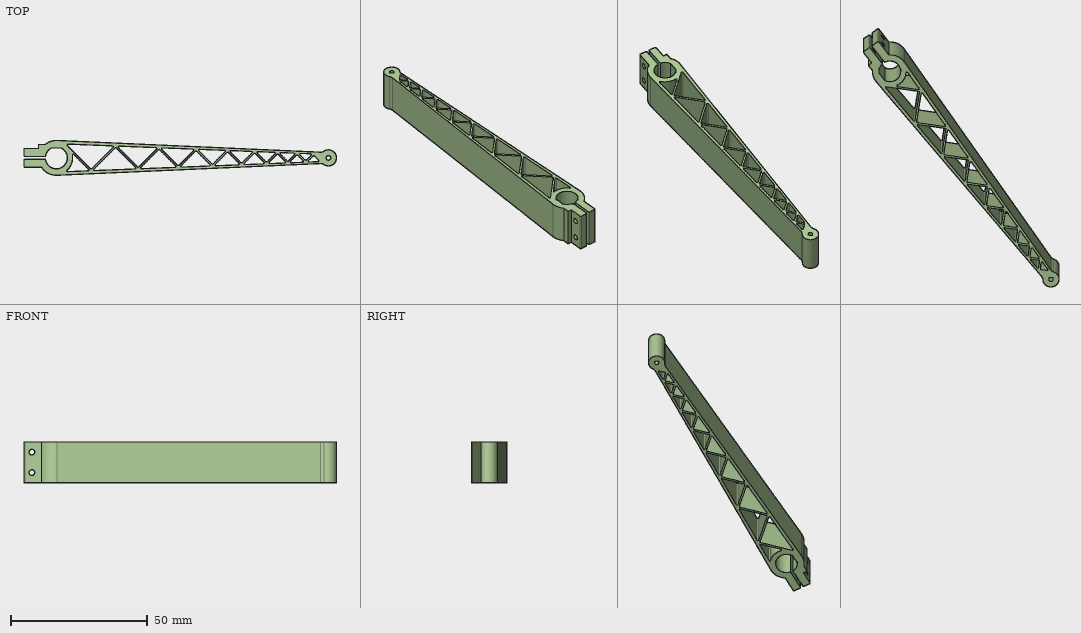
import cadquery as cq
import math

height = 15.0
tip_x = 100.0

hub_radius = 6.45
bore_radius = 4.0
bore_flat_y = 3.6
tip_radius = 3.0
tip_hole_radius = 0.8
taper_end_radius = 2.0
tip_blend_radius = 2.0

overall_length = 114.92
clamp_end_x = tip_x + tip_radius - overall_length
clamp_half_width = 3.5
clamp_slot_width = 1.0
clamp_corner_radius = 0.35
shoulder_x = -6.6
shoulder_y = 5.0
screw_hole_radius = 1.0
screw_x = -9.0
screw_heights = (height / 4, 3 * height / 4)

rail_half_width_at_hub = 5.18
rail_half_width_at_tip = 1.2
rail_slope = (rail_half_width_at_hub - rail_half_width_at_tip) / tip_x
first_node_x = 3.06
strut_count = 17
strut_width = 0.7
pocket_corner_radius = 0.3
hub_web_radius = 6.0


def rail_half_width(x):
    return rail_half_width_at_hub - rail_slope * x


def cylinder(x, radius):
    return cq.Workplane("XY").center(x, 0).circle(radius).extrude(height)


def block(x_min, x_max, y_min, y_max):
    box = cq.Workplane("XY").box(x_max - x_min, y_max - y_min, height, centered=False)
    return box.translate((x_min, y_min, 0))


def prism(points):
    return cq.Workplane("XY").polyline(points).close().extrude(height)


def make_beam():
    """Taper tangent to the hub and to the taper end circle, blended into the round tip."""
    sine = (hub_radius - taper_end_radius) / tip_x
    cosine = math.sqrt(1 - sine**2)
    hub_tangent = (hub_radius * sine, hub_radius * cosine)
    end_tangent = (tip_x + taper_end_radius * sine, taper_end_radius * cosine)
    taper = prism([
        hub_tangent,
        end_tangent,
        (end_tangent[0], -end_tangent[1]),
        (hub_tangent[0], -hub_tangent[1]),
    ])
    body = taper.union(cylinder(tip_x, tip_radius))
    blend_zone = cq.selectors.BoxSelector(
        (tip_x - tip_radius, -tip_radius, 0), (tip_x, tip_radius, height)
    )
    body = body.edges("|Z").edges(blend_zone).fillet(tip_blend_radius)
    return body.union(cylinder(0, hub_radius))


def make_clamp():
    """Two clamp jaws with rounded ends and a raised shoulder on the +Y jaw."""
    half_slot = clamp_slot_width / 2
    upper = block(clamp_end_x, 0, half_slot, clamp_half_width)
    lower = block(clamp_end_x, 0, -clamp_half_width, -half_slot)
    jaws = upper.union(lower).edges("|Z and <X").fillet(clamp_corner_radius)
    return jaws.union(block(shoulder_x, 0, 0, shoulder_y))


def cut_openings(body):
    """Clamp slot, flatted bore, tip hole and the two clamp screw holes."""
    half_slot = clamp_slot_width / 2
    body = body.cut(block(clamp_end_x, 0, -half_slot, half_slot))
    below_flat = block(-bore_radius, bore_radius, -bore_radius, bore_flat_y)
    body = body.cut(cylinder(0, bore_radius).intersect(below_flat))
    body = body.cut(cylinder(tip_x, tip_hole_radius))
    for z in screw_heights:
        screw_circle = cq.Workplane("XZ").center(screw_x, z).circle(screw_hole_radius)
        body = body.cut(screw_circle.extrude(hub_radius, both=True))
    return body


def truss_nodes():
    """Strut ends, alternating between the +Y and -Y rails."""
    xs = [first_node_x]
    for _ in range(strut_count):
        xs.append((xs[-1] + rail_half_width(xs[-1]) + rail_half_width_at_hub) / (1 + rail_slope))
    return xs


def truss_pocket(left_x, apex_x, right_x, side):
    """Triangle with its base on one rail, inset from both struts by half their width."""
    inset = strut_width / math.sqrt(2)

    def base_corner(node_x, direction):
        x = node_x + direction * inset / (1 - direction * rail_slope)
        return (x, side * rail_half_width(x))

    apex = (apex_x, side * (inset - rail_half_width(apex_x)))
    return prism([base_corner(left_x, 1), apex, base_corner(right_x, -1)])


def cut_truss(body):
    """Rounded triangular pockets between the struts, right through the height."""
    xs = truss_nodes()
    for i in range(strut_count - 1):
        side = 1 if i % 2 == 0 else -1
        pocket = truss_pocket(xs[i], xs[i + 1], xs[i + 2], side)
        body = body.cut(pocket.edges("|Z").fillet(pocket_corner_radius))

    mirrored_node_x = 2 * xs[0] - xs[1]
    first = truss_pocket(mirrored_node_x, xs[0], xs[1], -1)
    first = first.intersect(block(0, xs[1], -hub_radius, hub_radius))
    first = first.cut(cylinder(0, hub_web_radius))
    return body.cut(first.edges("|Z").fillet(pocket_corner_radius))


result = cut_truss(cut_openings(make_beam().union(make_clamp())))